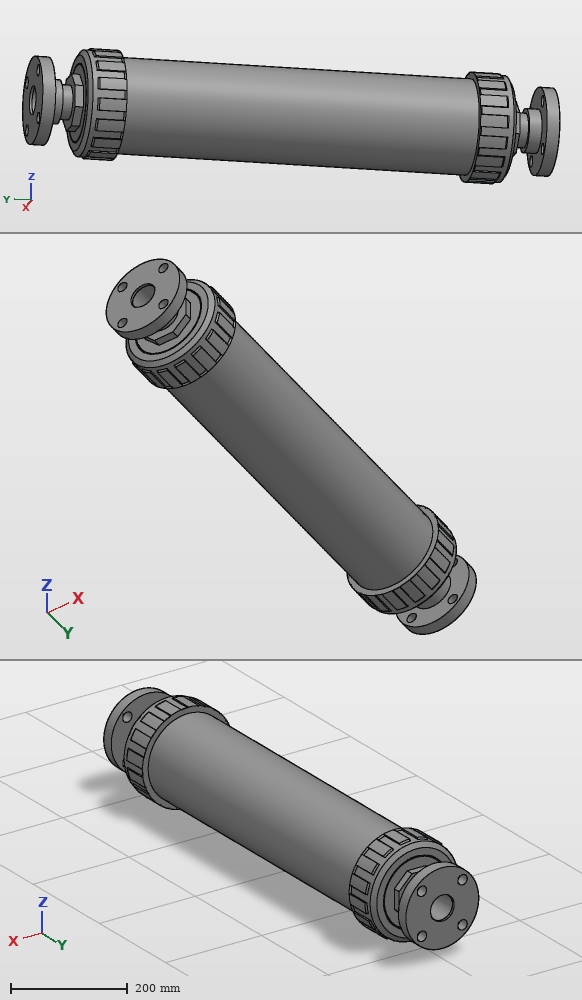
import cadquery as cq
import math

total_length = 911.0
half_length = total_length / 2

tube_diameter = 166.0

flange_diameter = 152.0
flange_thickness = 23.0
hub_diameter = 76.5
hub_length = 22.0
neck_diameter = 60.0
neck_length = 19.0
nut_across_flats = 92.0
nut_height = 15.0
nut_sides = 8
bore_diameter = 48.0
bore_mouth_diameter = 49.0
bore_mouth_depth = 5.0

bolt_hole_diameter = 19.0
bolt_spacing = 85.0

cap_length = 66.0
cap_diameter = 184.0
cap_face_diameter = 165.0
cap_chamfer_height = 6.0
groove_outer_diameter = 137.0
groove_inner_diameter = 133.0
groove_depth = 5.0

rib_count = 16
rib_outer_diameter = 189.0
rib_length = 50.0
rib_angle = 13.0
rib_start_angle = 7.5
grip_slope = 3.0

flange_inner_y = half_length - flange_thickness
hub_inner_y = flange_inner_y - hub_length
nut_outer_y = hub_inner_y - neck_length
cap_face_y = nut_outer_y - nut_height
cap_open_y = cap_face_y - cap_length
rib_top_y = cap_open_y + rib_length

cap_radius = cap_diameter / 2
rib_radius = rib_outer_diameter / 2


def cylinder(diameter, y_low, y_high):
    """Solid cylinder on the Y axis."""
    plane = cq.Workplane("XZ", origin=(0, y_low, 0))
    return plane.circle(diameter / 2).extrude(-(y_high - y_low))


def turned(radius_y_points, sweep_angle=360):
    """Solid turned about the Y axis from (radius, y) points, starting at +X."""
    profile = cq.Workplane("XY").polyline(radius_y_points).close()
    return profile.revolve(sweep_angle, (0, 0, 0), (0, 1, 0))


def cap():
    """Chamfered cap with a ring groove in its face, a flared rim and raised grip ribs."""
    body = turned([
        (0, cap_open_y),
        (rib_radius, cap_open_y),
        (cap_radius, cap_open_y + grip_slope),
        (cap_radius, cap_face_y - cap_chamfer_height),
        (cap_face_diameter / 2, cap_face_y),
        (0, cap_face_y),
    ])
    groove_floor_y = cap_face_y - groove_depth
    groove = cylinder(groove_outer_diameter, groove_floor_y, cap_face_y)
    groove = groove.cut(cylinder(groove_inner_diameter, groove_floor_y, cap_face_y))
    body = body.cut(groove)

    root_radius = tube_diameter / 2
    rib = turned([
        (root_radius, cap_open_y),
        (rib_radius, cap_open_y),
        (rib_radius, rib_top_y - grip_slope),
        (cap_radius, rib_top_y),
        (root_radius, rib_top_y),
    ], rib_angle)
    to_first_rib = rib_start_angle - 90 - rib_angle / 2
    for index in range(rib_count):
        turn = to_first_rib + index * 360 / rib_count
        body = body.union(rib.rotate((0, 0, 0), (0, 1, 0), turn))
    return body


def nut():
    """Eight-sided nut with flats facing X and Z on the cap face."""
    corner_diameter = nut_across_flats / math.cos(math.pi / nut_sides)
    blank = (
        cq.Workplane("XZ", origin=(0, cap_face_y, 0))
        .polygon(nut_sides, corner_diameter)
        .extrude(-nut_height)
    )
    return blank.rotate((0, 0, 0), (0, 1, 0), 180 / nut_sides)


def flanged_pipe():
    """Bolted flange, widened at the bore mouth, with its hub and neck."""
    flange = cylinder(flange_diameter, flange_inner_y, half_length)
    bolt_holes = (
        cq.Workplane("XZ", origin=(0, flange_inner_y, 0))
        .rect(bolt_spacing, bolt_spacing, forConstruction=True)
        .vertices()
        .circle(bolt_hole_diameter / 2)
        .extrude(-flange_thickness)
    )
    hub = cylinder(hub_diameter, hub_inner_y, flange_inner_y)
    neck = cylinder(neck_diameter, nut_outer_y, hub_inner_y)
    mouth = cylinder(bore_mouth_diameter, half_length - bore_mouth_depth, half_length)
    return flange.cut(bolt_holes).cut(mouth).union(hub).union(neck)


rear_end = cap().union(nut()).union(flanged_pipe())
front_end = rear_end.rotate((0, 0, 0), (0, 0, 1), 180)
tube = cylinder(tube_diameter, -cap_open_y, cap_open_y)
bore = cylinder(bore_diameter, -half_length, half_length)

result = tube.union(rear_end).union(front_end).cut(bore)